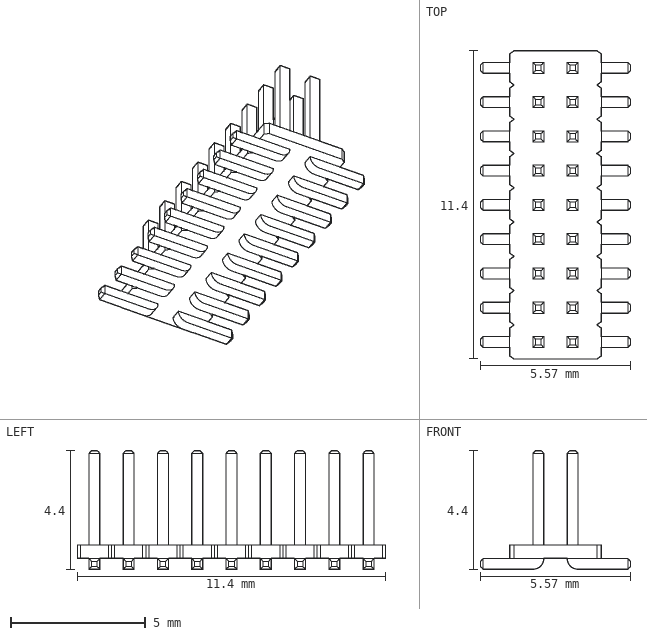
import cadquery as cq

length = 11.43
span = 5.57
height = 4.4
position_count = 9
housing_width = 3.4
housing_height = 0.5
leg_height = 0.4
pin_width = 0.41
tip_chamfer = 0.1
notch_depth = 0.16
notch_half_width = 0.11

pitch = length / position_count
housing_bottom = leg_height
housing_top = housing_bottom + housing_height
row_offset = pitch / 2
pin_inner_x = row_offset - pin_width / 2
leg_length = span / 2 - pin_inner_x
pin_ys = [(i - (position_count - 1) / 2) * pitch for i in range(position_count)]
division_ys = [(i - position_count / 2) * pitch for i in range(position_count + 1)]


def make_housing():
    """Flat plate with V notches between positions; the end notches bevel the corners."""
    plate = cq.Workplane("XY").box(housing_width, length, housing_height, centered=(True, True, False))
    half_width = housing_width / 2
    for y in division_ys:
        for side in (-1, 1):
            notch = (
                cq.Workplane("XY")
                .moveTo(side * half_width, y - notch_half_width)
                .lineTo(side * (half_width - notch_depth), y)
                .lineTo(side * half_width, y + notch_half_width)
                .close()
                .extrude(housing_height)
            )
            plate = plate.cut(notch)
    return plate.translate((0, 0, housing_bottom))


def make_terminal():
    """L-shaped terminal on the +X side: upright pin and outward leg with a rounded heel."""
    pin = (
        cq.Workplane("XY")
        .box(pin_width, pin_width, height - leg_height, centered=(True, True, False))
        .faces(">Z")
        .chamfer(tip_chamfer)
        .translate((row_offset, 0, leg_height))
    )
    leg = (
        cq.Workplane("XY")
        .box(leg_length, pin_width, leg_height, centered=(False, True, False))
        .faces(">X")
        .chamfer(tip_chamfer)
        .translate((pin_inner_x, 0, 0))
    )
    heel_block = (
        cq.Workplane("XY")
        .box(leg_height, pin_width, leg_height, centered=(False, True, False))
        .translate((pin_inner_x, 0, 0))
    )
    heel_round = (
        cq.Workplane("XZ")
        .center(pin_inner_x + leg_height, leg_height)
        .circle(leg_height)
        .extrude(pin_width / 2, both=True)
    )
    return pin.union(leg.cut(heel_block.cut(heel_round)))


terminal = make_terminal()
mirrored_terminal = terminal.mirror("YZ")

result = make_housing()
for pin_y in pin_ys:
    result = result.union(terminal.translate((0, pin_y, 0)))
    result = result.union(mirrored_terminal.translate((0, pin_y, 0)))